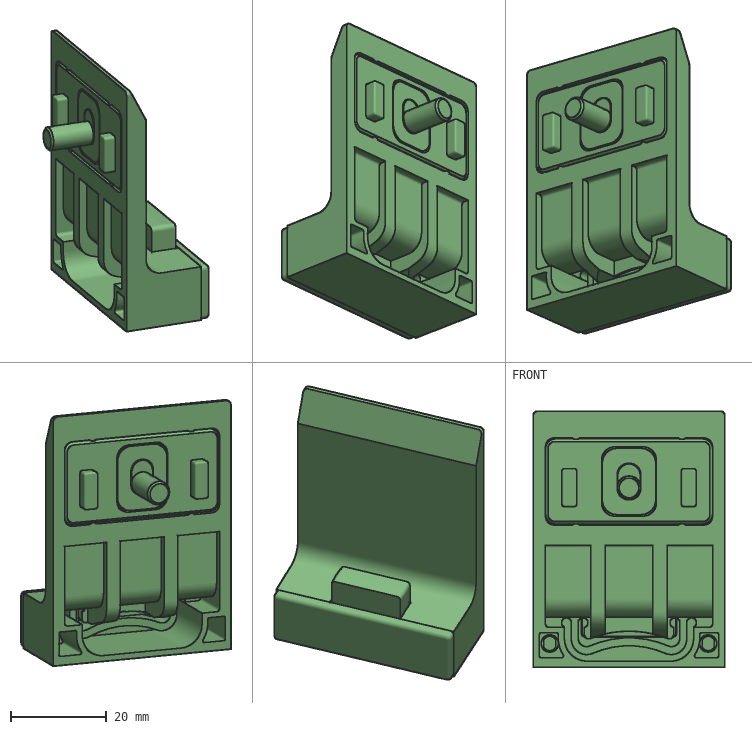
import cadquery as cq
import math

WIDTH = 40.0
HEIGHT = 53.5
PANEL_THICKNESS = 4.45
TOP_EDGE_THICKNESS = 0.9
BEVEL_START_Z = 46.65
TOP_CORNER_RADIUS = 0.95
FOOT_HEIGHT = 11.95
FOOT_DEPTH = 17.0
FOOT_BACK_WIDTH = 39.75
BEND_RADIUS = 3.6
WALL = 1.3

CEILING_Z = 10.45
INNER_WALL_Y = 10.45
POCKET_TOP_Z = 25.5
POCKET_DEPTH = 1.7
POCKET_TOP_RADIUS = 0.55
CEILING_BEND_RADIUS = 3.75
POCKET_HALF_WIDTH = WIDTH / 2 - 2 * WALL
SHELF_Z = 8.35
SHELF_CORNER_RADIUS = 0.7
CAVITY_HALF_WIDTH = 13.5
CAVITY_CORNER_RADIUS = 4.7
RIB_INNER_X = 5.0
RIB_OUTER_X = 8.0
RIB_NOSE_Z = 11.4
RIB_NOSE_RADIUS = 3.75
RIB_SLOPE = math.radians(17)

ARCH_CENTRE_Z = -14.45
SPRING_BOTTOM_ARCH = dict(half_width=12.05, crown_z=4.5, corner_radius=3.2)
SPRING_TOP_ARCH = dict(half_width=10.6, crown_z=6.15, corner_radius=1.7)
WALL_ARCH = dict(half_width=9.3, crown_z=7.55, corner_radius=0.85)
RELIEF_RADIUS = 1.0
RELIEF_Z = 9.3

CHANNEL_OUTER_X = WIDTH / 2 - WALL
CHANNEL_BOTTOM_Z = 2.0
CHANNEL_TOP_Z = 7.2
CHANNEL_CORNER_RADIUS = 0.45
PEG_X = 16.55
PEG_Z = 5.0
PEG_DIAMETER = 3.6
PEG_TIP_DIAMETER = 3.0
PEG_WIDTH = 2.55

COVER_THICKNESS = 2.05
COVER_CORNER_RADIUS = 0.95
COVER_EDGE_RADIUS = 0.9

BUTTON_FRONT_Y = 10.95
BUTTON_BACK_Y = 16.5
BUTTON_HEAD_HALF_WIDTH = 7.85
BUTTON_TOP_Z = 17.35
BUTTON_HEAD_RADIUS = 1.0
BUTTON_FLANGE_HALF_WIDTH = 9.95
BUTTON_BOTTOM_Z = 6.3
BUTTON_FLANGE_RADIUS = 0.85
BUTTON_DRAFT = 3.0

RECESS_WIDTH = 34.9
RECESS_HEIGHT = 18.2
RECESS_Z = 38.8
RECESS_DEPTH = 1.7
RECESS_CORNER_RADIUS = 1.85
PLATE_CLEARANCE = 0.2
PLATE_CORNER_RADIUS = 2.05
PLATE_CHAMFER = 0.55
BUMP_X = 11.1
BUMP_RADIUS = 1.2
BUMP_HEIGHT = 0.3
LUG_X = 12.45
LUG_Z = 37.5
LUG_WIDTH = 3.1
LUG_HEIGHT = 7.95
LUG_LENGTH = 2.45
LUG_CORNER_RADIUS = 0.6
LUG_EDGE_RADIUS = 0.4

WINDOW_WIDTH = 11.45
WINDOW_HEIGHT = 14.45
WINDOW_CORNER_RADIUS = 2.8
INSERT_CORNER_RADIUS = 3.0
INSERT_SIDE_GAP = 0.15
INSERT_END_GAP = 0.3
PIN_DIAMETER = 5.0
PIN_Z = 37.45
PIN_LENGTH = 9.45
PIN_TIP_CHAMFER = 0.45
PIN_FOOT_STRAIGHT = 2.7
PIN_FOOT_CHAMFER = 0.15

SIDES = (-1, 1)


def front_plane(y, x=0, z=0):
    """Workplane facing -Y, with local axes along X and Z."""
    return cq.Workplane("XZ", origin=(x, y, z))


def rounded_block(width, height, radius, x, z, y_front, y_back):
    """Block along Y, centred on x and z, with its four long edges rounded."""
    block = front_plane(y_front, x, z).rect(width, height).extrude(y_front - y_back)
    return block.edges("|Y").fillet(radius)


def box_between(x_range, y_range, z_range):
    """Box given by the two ends of each of its sides."""
    size = [end - start for start, end in (x_range, y_range, z_range)]
    corner = (x_range[0], y_range[0], z_range[0])
    return cq.Workplane("XY", origin=corner).box(*size, centered=False)


def housing_shell():
    """Solid L-shaped body with a bevelled top and slightly tapered foot sides."""
    body = (
        cq.Workplane("YZ", origin=(-WIDTH / 2, 0, 0))
        .moveTo(0, 0)
        .lineTo(FOOT_DEPTH, 0)
        .lineTo(FOOT_DEPTH, FOOT_HEIGHT)
        .lineTo(PANEL_THICKNESS + BEND_RADIUS, FOOT_HEIGHT)
        .radiusArc((PANEL_THICKNESS, FOOT_HEIGHT + BEND_RADIUS), BEND_RADIUS)
        .lineTo(PANEL_THICKNESS, BEVEL_START_Z)
        .lineTo(TOP_EDGE_THICKNESS, HEIGHT)
        .lineTo(0, HEIGHT)
        .close()
        .extrude(WIDTH)
    )
    tapered_plan = (
        cq.Workplane("XY")
        .polyline([
            (-WIDTH / 2, 0),
            (WIDTH / 2, 0),
            (FOOT_BACK_WIDTH / 2, FOOT_DEPTH),
            (-FOOT_BACK_WIDTH / 2, FOOT_DEPTH),
        ])
        .close()
        .extrude(HEIGHT)
    )
    front_outline = (
        front_plane(0, z=HEIGHT / 2).rect(WIDTH, HEIGHT).extrude(-FOOT_DEPTH)
        .edges("|Y and >Z").fillet(TOP_CORNER_RADIUS)
    )
    return body.intersect(tapered_plan).intersect(front_outline)


def cavity_block(y_front, y_back, top_z):
    """U-shaped block that fills the cavity up to a given height."""
    height = top_z - WALL
    block = front_plane(y_front, z=WALL + height / 2).rect(2 * CAVITY_HALF_WIDTH, height)
    return block.extrude(y_front - y_back).edges("|Y and <Z").fillet(CAVITY_CORNER_RADIUS)


def arch_block(arch, y_front, y_back, top_z):
    """Block with an arched underside and rounded lower corners."""
    half_width = arch["half_width"]
    arch_radius = arch["crown_z"] - ARCH_CENTRE_Z
    corner_z = ARCH_CENTRE_Z + math.sqrt(arch_radius**2 - half_width**2)
    block = (
        front_plane(y_front)
        .moveTo(-half_width, top_z)
        .lineTo(-half_width, corner_z)
        .threePointArc((0, arch["crown_z"]), (half_width, corner_z))
        .lineTo(half_width, top_z)
        .close()
        .extrude(y_front - y_back)
    )
    return block.edges("|Y and <Z").fillet(arch["corner_radius"])


def ribs():
    """Two ribs between the pockets, each with a rounded nose and a sloping underside."""
    turn = math.pi / 2 - RIB_SLOPE
    nose_end_y = RIB_NOSE_RADIUS * (1 - math.cos(turn))
    nose_end_z = RIB_NOSE_Z - RIB_NOSE_RADIUS * math.sin(turn)
    back_z = nose_end_z - (INNER_WALL_Y - nose_end_y) * math.tan(RIB_SLOPE)
    pair = cq.Workplane()
    for start_x in (-RIB_OUTER_X, RIB_INNER_X):
        rib = (
            cq.Workplane("YZ", origin=(start_x, 0, 0))
            .moveTo(0, POCKET_TOP_Z)
            .lineTo(0, RIB_NOSE_Z)
            .radiusArc((nose_end_y, nose_end_z), -RIB_NOSE_RADIUS)
            .lineTo(INNER_WALL_Y, back_z)
            .lineTo(INNER_WALL_Y, POCKET_TOP_Z)
            .close()
            .extrude(RIB_OUTER_X - RIB_INNER_X)
        )
        pair = pair.add(rib)
    return pair.combine()


def front_hollow():
    """Three pockets that run down into the cavity, parted by the ribs."""
    side_profile = (
        cq.Workplane("YZ", origin=(-POCKET_HALF_WIDTH, 0, 0))
        .moveTo(0, 0)
        .lineTo(0, POCKET_TOP_Z)
        .lineTo(POCKET_DEPTH - POCKET_TOP_RADIUS, POCKET_TOP_Z)
        .radiusArc((POCKET_DEPTH, POCKET_TOP_Z - POCKET_TOP_RADIUS), POCKET_TOP_RADIUS)
        .lineTo(POCKET_DEPTH, CEILING_Z + CEILING_BEND_RADIUS)
        .radiusArc((POCKET_DEPTH + CEILING_BEND_RADIUS, CEILING_Z), -CEILING_BEND_RADIUS)
        .lineTo(INNER_WALL_Y, CEILING_Z)
        .lineTo(INNER_WALL_Y, 0)
        .close()
        .extrude(2 * POCKET_HALF_WIDTH)
    )
    pockets = box_between(
        (-POCKET_HALF_WIDTH, POCKET_HALF_WIDTH), (0, INNER_WALL_Y), (SHELF_Z, POCKET_TOP_Z)
    )
    pockets = pockets.edges("|Y and <Z").fillet(SHELF_CORNER_RADIUS)
    outline = pockets.union(cavity_block(0, INNER_WALL_Y, CEILING_Z))
    arched_ribs = ribs().intersect(arch_block(WALL_ARCH, 0, INNER_WALL_Y, POCKET_TOP_Z))
    return side_profile.intersect(outline).cut(arched_ribs)


def relief_holes(hole_x):
    """Mirrored pair of round holes at the ends of a spring slot."""
    centres = [(side * hole_x, RELIEF_Z) for side in SIDES]
    holes = front_plane(INNER_WALL_Y).pushPoints(centres).circle(RELIEF_RADIUS)
    return holes.extrude(INNER_WALL_Y - FOOT_DEPTH)


def spring_slots():
    """Slots below and above the wavy leaf spring, through the inner wall."""
    span = (INNER_WALL_Y, FOOT_DEPTH, RELIEF_Z)
    lower = cavity_block(*span).cut(arch_block(SPRING_BOTTOM_ARCH, *span))
    lower_ends = relief_holes(SPRING_BOTTOM_ARCH["half_width"] + RELIEF_RADIUS)
    upper = arch_block(SPRING_TOP_ARCH, *span).cut(arch_block(WALL_ARCH, *span))
    upper_ends = relief_holes(SPRING_TOP_ARCH["half_width"] - RELIEF_RADIUS)
    return lower.union(lower_ends).union(upper).union(upper_ends)


def button_chamber():
    """Space above the spring for the flange, and the opening for the head."""
    chamber = arch_block(SPRING_TOP_ARCH, BUTTON_FRONT_Y, FOOT_DEPTH, CEILING_Z)
    opening = box_between(
        (-BUTTON_HEAD_HALF_WIDTH, BUTTON_HEAD_HALF_WIDTH),
        (BUTTON_FRONT_Y, FOOT_DEPTH),
        (CEILING_Z, FOOT_HEIGHT),
    )
    return chamber.union(opening)


def corner_channel(side):
    """Channel in a lower corner; its inner side follows the rounded cavity wall."""
    inner_x = CAVITY_HALF_WIDTH + WALL
    bend_x = CAVITY_HALF_WIDTH - CAVITY_CORNER_RADIUS
    bend_z = WALL + CAVITY_CORNER_RADIUS
    wall_radius = CAVITY_CORNER_RADIUS + WALL
    foot_x = bend_x + math.sqrt(wall_radius**2 - (bend_z - CHANNEL_BOTTOM_Z) ** 2)
    channel = (
        front_plane(0)
        .moveTo(side * CHANNEL_OUTER_X, CHANNEL_TOP_Z)
        .lineTo(side * inner_x, CHANNEL_TOP_Z)
        .lineTo(side * inner_x, bend_z)
        .radiusArc((side * foot_x, CHANNEL_BOTTOM_Z), side * wall_radius)
        .lineTo(side * CHANNEL_OUTER_X, CHANNEL_BOTTOM_Z)
        .close()
        .extrude(-INNER_WALL_Y)
    )
    return channel.edges("|Y and (<Z or >Z)").fillet(CHANNEL_CORNER_RADIUS)


def peg_holes():
    """Round holes from the ends of the corner channels to the back of the foot."""
    centres = [(side * PEG_X, PEG_Z) for side in SIDES]
    holes = front_plane(INNER_WALL_Y).pushPoints(centres).circle(PEG_DIAMETER / 2)
    return holes.extrude(INNER_WALL_Y - FOOT_DEPTH)


def recess_bumps():
    """Low rounded bumps on the upper and lower walls of the recess."""
    offset_z = RECESS_HEIGHT / 2 + BUMP_RADIUS - BUMP_HEIGHT
    centres = [(side * BUMP_X, RECESS_Z + end * offset_z) for side in SIDES for end in SIDES]
    return front_plane(0).pushPoints(centres).circle(BUMP_RADIUS).extrude(-RECESS_DEPTH)


def make_housing():
    recess = rounded_block(
        RECESS_WIDTH, RECESS_HEIGHT, RECESS_CORNER_RADIUS, 0, RECESS_Z, 0, RECESS_DEPTH
    )
    body = housing_shell().cut(front_hollow()).cut(spring_slots()).cut(button_chamber())
    for side in SIDES:
        body = body.cut(corner_channel(side))
    return body.cut(peg_holes()).cut(recess.cut(recess_bumps()))


def cover_peg(side):
    """Peg with two flat sides and a chamfered tip, level with the channel end."""
    tip_chamfer = (PEG_DIAMETER - PEG_TIP_DIAMETER) / 2
    peg = (
        front_plane(INNER_WALL_Y, side * PEG_X, PEG_Z)
        .circle(PEG_DIAMETER / 2)
        .extrude(INNER_WALL_Y - FOOT_DEPTH)
        .faces("<Y").chamfer(tip_chamfer)
    )
    flats = front_plane(INNER_WALL_Y, side * PEG_X, PEG_Z).rect(PEG_WIDTH, PEG_DIAMETER)
    return peg.intersect(flats.extrude(INNER_WALL_Y - FOOT_DEPTH))


def make_cover():
    cover = rounded_block(
        FOOT_BACK_WIDTH, FOOT_HEIGHT, COVER_CORNER_RADIUS,
        0, FOOT_HEIGHT / 2, FOOT_DEPTH, FOOT_DEPTH + COVER_THICKNESS,
    )
    cover = cover.faces(">Y").edges().fillet(COVER_EDGE_RADIUS)
    for side in SIDES:
        cover = cover.union(cover_peg(side))
    return cover


def button_half(y_middle, direction):
    """Half of the button, tapering from its middle towards one end along Y."""
    half_length = (BUTTON_BACK_Y - BUTTON_FRONT_Y) / 2
    head = cq.Sketch().push([(0, (BUTTON_TOP_Z + BUTTON_BOTTOM_Z) / 2)])
    head = head.rect(2 * BUTTON_HEAD_HALF_WIDTH, BUTTON_TOP_Z - BUTTON_BOTTOM_Z)
    head = head.reset().vertices(">Y").fillet(BUTTON_HEAD_RADIUS)
    flange = cq.Sketch().push([(0, (CEILING_Z + BUTTON_BOTTOM_Z) / 2)])
    flange = flange.rect(2 * BUTTON_FLANGE_HALF_WIDTH, CEILING_Z - BUTTON_BOTTOM_Z)
    flange = flange.reset().vertices("<Y").fillet(BUTTON_FLANGE_RADIUS)
    outline = (head.reset() + flange.reset()).clean().reset()
    profile = front_plane(y_middle).placeSketch(outline)
    return profile.extrude(direction * half_length, taper=BUTTON_DRAFT)


def make_button():
    y_middle = (BUTTON_FRONT_Y + BUTTON_BACK_Y) / 2
    return button_half(y_middle, 1).union(button_half(y_middle, -1))


def plate_lug(side):
    """Rounded rectangular lug that stands out from the front of the plate."""
    lug = rounded_block(
        LUG_WIDTH, LUG_HEIGHT, LUG_CORNER_RADIUS, side * LUG_X, LUG_Z, -LUG_LENGTH, 0
    )
    return lug.faces("<Y").edges().fillet(LUG_EDGE_RADIUS)


def make_plate():
    plate = rounded_block(
        RECESS_WIDTH, RECESS_HEIGHT - 2 * PLATE_CLEARANCE, PLATE_CORNER_RADIUS,
        0, RECESS_Z, 0, RECESS_DEPTH,
    )
    plate = plate.faces("<Y").edges().chamfer(PLATE_CHAMFER).cut(recess_bumps())
    window = rounded_block(
        WINDOW_WIDTH, WINDOW_HEIGHT, WINDOW_CORNER_RADIUS, 0, RECESS_Z, 0, RECESS_DEPTH
    )
    plate = plate.cut(window)
    for side in SIDES:
        plate = plate.union(plate_lug(side))
    return plate


def pin_foot():
    """Oblong foot of the pin, before its front edge is chamfered."""
    outline = front_plane(0, z=PIN_Z + PIN_FOOT_STRAIGHT / 2)
    outline = outline.slot2D(PIN_DIAMETER + PIN_FOOT_STRAIGHT, PIN_DIAMETER, 90)
    return outline.extrude(-RECESS_DEPTH)


def make_insert():
    insert = rounded_block(
        WINDOW_WIDTH - 2 * INSERT_SIDE_GAP, WINDOW_HEIGHT - 2 * INSERT_END_GAP,
        INSERT_CORNER_RADIUS, 0, RECESS_Z, 0, RECESS_DEPTH,
    )
    return insert.cut(pin_foot())


def make_pin():
    shank = front_plane(0, z=PIN_Z).circle(PIN_DIAMETER / 2).extrude(PIN_LENGTH)
    shank = shank.faces("<Y").chamfer(PIN_TIP_CHAMFER)
    foot = pin_foot().faces("<Y").chamfer(PIN_FOOT_CHAMFER)
    return shank.union(foot)


housing = make_housing()
cover = make_cover()
button = make_button()
plate = make_plate()
insert = make_insert()
pin = make_pin()

result = cq.Compound.makeCompound([
    housing.val(),
    cover.val(),
    button.val(),
    plate.val(),
    insert.val(),
    pin.val(),
])